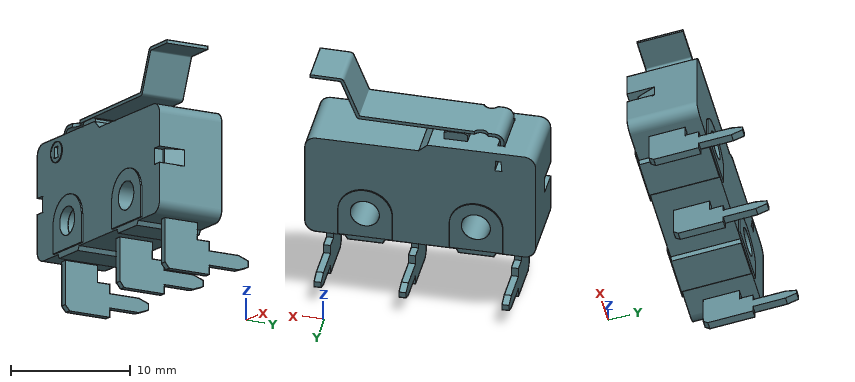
import cadquery as cq
import math


LENGTH = 19.8
WIDTH = 6.12
HALF_WIDTH = WIDTH / 2
HIGH_TOP = 10.22
LOW_TOP = 9.55
STEP_START = 9.29
STEP_END = 10.02
CORNER_RADIUS = 0.99

HOLE_Z = 2.53
LEFT_HOLE_X = 5.09
RIGHT_HOLE_X = 14.61
LEFT_PAD_RADIUS = 2.3
RIGHT_PAD_RADIUS = 2.34
PAD_RAISE = 0.14
PAD_BOTTOM = 0.15
HOLE_DIAMETER = 2.5
LEFT_MOUTH_WIDTH = 2.4
LEFT_MOUTH_DEPTH = 0.83

FOOT_HEIGHT = 0.38
FOOT_SLOPE = 0.22
FOOT_LENGTH = 3.45
FOOT_STARTS = (3.37, 12.89)

NOTCH_BOTTOM = 4.25
NOTCH_HEIGHT = 1.4
NOTCH_DEPTH = 0.83
NOTCH_RAMP_DEPTH = 0.53
NOTCH_RAMP_START = -0.63
NOTCH_RAMP_END = -2.24

PLUNGER_START = 6.1
PLUNGER_LENGTH = 2.02
PLUNGER_TOP = 10.99
PLUNGER_WIDTH = 4.08
PLUNGER_BEVEL_LENGTH = 0.28
PLUNGER_BEVEL_HEIGHT = 0.18

TERMINAL_THICKNESS = 0.61
TERMINAL_STARTS = (1.52, 10.35, 17.65)
TERMINAL_BOTTOM = -4.34
TERMINAL_HALF_WIDTH = 1.58
TERMINAL_CHAMFER_Y = 0.42
TERMINAL_CHAMFER_Z = 0.5
SHOULDER_Y = 2.77
SHOULDER_Z = -1.47
PIN_TOP = -2.28
PIN_BOTTOM = -3.52
PIN_TAPER_START = 5.62
PIN_TIP_Y = 6.6
PIN_TAPER_DROP = 0.35

LEVER_X = 3.15
LEVER_Y = -0.22
LEVER_Z = 8.6
LEVER_THICKNESS = 0.3
LEVER_WIDTH = 4.02
LEVER_TILT = 0.8
LEG_LENGTH = 1.86
LEG_BEND_RADIUS = 0.67
ARM_LENGTH = 11.55
RAMP_ANGLE = math.radians(67.4)
RAMP_LENGTH = 3.52
RAMP_BOTTOM_RADIUS = 0.2
RAMP_TOP_RADIUS = 0.3
TIP_LENGTH = 2.51
LEVER_NOTCH_X = 4.97
LEVER_NOTCH_RADIUS = 0.65
LEVER_NOTCH_DEPTH = 0.38

SLOT_X = 3.19
SLOT_LENGTH = 0.6
SLOT_SIDE_GAP = 0.08
SLOT_WIDTH = LEVER_WIDTH + 2 * SLOT_SIDE_GAP
SLOT_BOTTOM = 8.45
WINDOW_TOP = 9.4
WINDOW_TOP_LENGTH = 0.45
BOSS_DIAMETER = 1.8
BOSS_RAISE = 0.08
BOSS_Z = 8.95


def across(outline, start_y, end_y):
    """Extrude a closed outline, drawn on the XZ plane, from start_y to end_y."""
    return outline.extrude(start_y - end_y).translate((0, start_y, 0))


def side_sketch():
    return cq.Workplane("XZ")


def cylinder(x, z, diameter, start_y, end_y):
    return across(side_sketch().center(x, z).circle(diameter / 2), start_y, end_y)


def make_block():
    outline = side_sketch().polyline(
        [
            (0, 0),
            (LENGTH, 0),
            (LENGTH, LOW_TOP),
            (STEP_END, LOW_TOP),
            (STEP_START, HIGH_TOP),
            (0, HIGH_TOP),
        ]
    ).close()
    block = across(outline, -HALF_WIDTH, HALF_WIDTH)
    return block.edges("|Y and (<X or >X)").fillet(CORNER_RADIUS)


def make_pad(x, radius):
    outline = (
        side_sketch()
        .moveTo(x - radius, PAD_BOTTOM)
        .lineTo(x + radius, PAD_BOTTOM)
        .lineTo(x + radius, HOLE_Z)
        .threePointArc((x, HOLE_Z + radius), (x - radius, HOLE_Z))
        .close()
    )
    return across(outline, -HALF_WIDTH - PAD_RAISE, HALF_WIDTH + PAD_RAISE)


def make_foot(start_x):
    end_x = start_x + FOOT_LENGTH
    outline = side_sketch().polyline(
        [
            (start_x, 0),
            (start_x + FOOT_SLOPE, -FOOT_HEIGHT),
            (end_x - FOOT_SLOPE, -FOOT_HEIGHT),
            (end_x, 0),
        ]
    ).close()
    return across(outline, -HALF_WIDTH, HALF_WIDTH)


def make_plunger():
    end_x = PLUNGER_START + PLUNGER_LENGTH
    bevel_z = PLUNGER_TOP - PLUNGER_BEVEL_HEIGHT
    outline = side_sketch().polyline(
        [
            (PLUNGER_START, LOW_TOP),
            (end_x, LOW_TOP),
            (end_x, bevel_z),
            (end_x - PLUNGER_BEVEL_LENGTH, PLUNGER_TOP),
            (PLUNGER_START + PLUNGER_BEVEL_LENGTH, PLUNGER_TOP),
            (PLUNGER_START, bevel_z),
        ]
    ).close()
    return across(outline, LEVER_Y - PLUNGER_WIDTH / 2, LEVER_Y + PLUNGER_WIDTH / 2)


def make_terminal(start_x):
    return (
        cq.Workplane("YZ", origin=(start_x, 0, 0))
        .polyline(
            [
                (-TERMINAL_HALF_WIDTH, 0),
                (-TERMINAL_HALF_WIDTH, TERMINAL_BOTTOM + TERMINAL_CHAMFER_Z),
                (-TERMINAL_HALF_WIDTH + TERMINAL_CHAMFER_Y, TERMINAL_BOTTOM),
                (SHOULDER_Y, TERMINAL_BOTTOM),
                (SHOULDER_Y, PIN_BOTTOM),
                (PIN_TAPER_START, PIN_BOTTOM),
                (PIN_TIP_Y, PIN_BOTTOM + PIN_TAPER_DROP),
                (PIN_TIP_Y, PIN_TOP - PIN_TAPER_DROP),
                (PIN_TAPER_START, PIN_TOP),
                (SHOULDER_Y, PIN_TOP),
                (SHOULDER_Y, SHOULDER_Z),
                (TERMINAL_HALF_WIDTH, SHOULDER_Z),
                (TERMINAL_HALF_WIDTH, 0),
            ]
        )
        .close()
        .extrude(TERMINAL_THICKNESS)
    )


def make_left_notch():
    return (
        cq.Workplane("XY", origin=(0, 0, NOTCH_BOTTOM))
        .polyline(
            [
                (0, NOTCH_RAMP_START),
                (NOTCH_RAMP_DEPTH, NOTCH_RAMP_END),
                (NOTCH_DEPTH, NOTCH_RAMP_END),
                (NOTCH_DEPTH, -HALF_WIDTH),
                (0, -HALF_WIDTH),
            ]
        )
        .close()
        .extrude(NOTCH_HEIGHT)
    )


def make_lever_slot():
    slot = cq.Workplane("XY").box(
        SLOT_LENGTH, SLOT_WIDTH, HIGH_TOP - SLOT_BOTTOM, centered=(True, True, False)
    )
    return slot.translate((SLOT_X, LEVER_Y, SLOT_BOTTOM))


def make_window():
    outline = side_sketch().polyline(
        [
            (SLOT_X - SLOT_LENGTH / 2, SLOT_BOTTOM),
            (SLOT_X + SLOT_LENGTH / 2, SLOT_BOTTOM),
            (SLOT_X + WINDOW_TOP_LENGTH / 2, WINDOW_TOP),
            (SLOT_X - WINDOW_TOP_LENGTH / 2, WINDOW_TOP),
        ]
    ).close()
    return across(outline, -HALF_WIDTH - BOSS_RAISE, HALF_WIDTH)


def make_left_hole():
    front_y = -HALF_WIDTH - PAD_RAISE
    mouth_end = front_y + LEFT_MOUTH_DEPTH
    mouth_outline = side_sketch().center(LEFT_HOLE_X, HOLE_Z).slot2D(HOLE_DIAMETER, LEFT_MOUTH_WIDTH, 90)
    mouth = across(mouth_outline, front_y, mouth_end)
    bore = cylinder(LEFT_HOLE_X, HOLE_Z, HOLE_DIAMETER, mouth_end, HALF_WIDTH + PAD_RAISE)
    return mouth.union(bore)


def make_right_hole():
    reach = HALF_WIDTH + PAD_RAISE
    return cylinder(RIGHT_HOLE_X, HOLE_Z, HOLE_DIAMETER, -reach, reach)


def make_boss():
    return cylinder(SLOT_X, BOSS_Z, BOSS_DIAMETER, -HALF_WIDTH - BOSS_RAISE, -HALF_WIDTH)


def make_housing():
    body = make_block()
    body = body.union(make_pad(LEFT_HOLE_X, LEFT_PAD_RADIUS))
    body = body.union(make_pad(RIGHT_HOLE_X, RIGHT_PAD_RADIUS))
    body = body.union(make_boss())
    body = body.union(make_plunger())
    for start_x in FOOT_STARTS:
        body = body.union(make_foot(start_x))
    for start_x in TERMINAL_STARTS:
        body = body.union(make_terminal(start_x))

    left_notch = make_left_notch()
    right_notch = left_notch.mirror("YZ").translate((LENGTH, 0, 0))
    body = body.cut(left_notch).cut(right_notch)
    body = body.cut(make_left_hole()).cut(make_right_hole())
    return body.cut(make_lever_slot()).cut(make_window())


def ramp_bend(radius):
    """Run and rise of an arc that turns the strip through the ramp angle."""
    return radius * math.sin(RAMP_ANGLE), radius * (1 - math.cos(RAMP_ANGLE))


def make_lever():
    ramp_run = RAMP_LENGTH * math.cos(RAMP_ANGLE)
    ramp_rise = RAMP_LENGTH * math.sin(RAMP_ANGLE)
    foot = (LEVER_X, LEVER_Y, LEVER_Z)
    path = (
        cq.Workplane("XZ", origin=foot)
        .line(0, LEG_LENGTH)
        .tangentArcPoint((LEG_BEND_RADIUS, LEG_BEND_RADIUS))
        .line(ARM_LENGTH, 0)
        .tangentArcPoint(ramp_bend(RAMP_BOTTOM_RADIUS))
        .line(ramp_run, ramp_rise)
        .tangentArcPoint(ramp_bend(RAMP_TOP_RADIUS))
        .line(TIP_LENGTH, 0)
    )
    strip = cq.Workplane("XY", origin=foot).rect(LEVER_THICKNESS, LEVER_WIDTH).sweep(path)

    centre_offset = LEVER_WIDTH / 2 - LEVER_NOTCH_DEPTH + LEVER_NOTCH_RADIUS
    notches = (
        cq.Workplane("XY", origin=foot)
        .pushPoints(
            [(LEVER_NOTCH_X - LEVER_X, side * centre_offset) for side in (-1, 1)]
        )
        .circle(LEVER_NOTCH_RADIUS)
        .extrude(LEG_LENGTH + 2 * LEG_BEND_RADIUS)
    )
    tilt_axis_end = (LEVER_X, LEVER_Y - 0.2, LEVER_Z)
    return strip.cut(notches).rotate(foot, tilt_axis_end, LEVER_TILT)


housing = make_housing()
lever = make_lever()
result = cq.Compound.makeCompound([housing.val(), lever.val()])